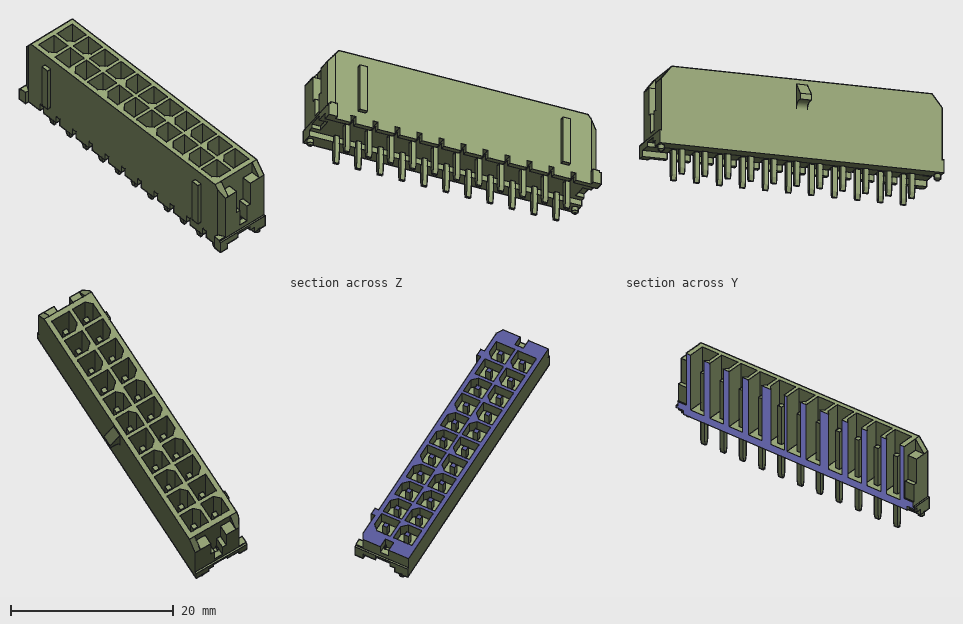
import cadquery as cq

LENGTH = 37.15
BODY_LENGTH = 36.65
BODY_DEPTH = 6.85
BODY_HEIGHT = 10.0
FRONT_Y = -BODY_DEPTH / 2
BACK_Y = BODY_DEPTH / 2
FRONT_STANDOFF = 0.52
EPS = 0.05

SLOPE_RUN = 1.35
SLOPE_DROP = 1.67
CORNER_RUN = 0.9
CORNER_DEPTH = 0.5

FLANGE_HEIGHT = 1.67
FLANGE_LENGTH = 1.15
FOOT_HEIGHT = 1.9

END_WALL_X = BODY_LENGTH / 2 - SLOPE_RUN
LEDGE_Z = BODY_HEIGHT - SLOPE_DROP
LEDGE_Y_MIN = -2.45
LEDGE_Y_MAX = 2.65
SLOT_Y = 0.05
WIDE_SLOT_WIDTH = 2.23
WIDE_SLOT_Z = 4.83
NARROW_SLOT_WIDTH = 1.1
NARROW_SLOT_Z = 2.38
FLOOR_HOLE_LENGTH = 0.6
FLOOR_HOLE_WIDTH = 0.8
FLOOR_HOLE_DEPTH = 0.37

COLUMNS = 11
ROW_LENGTH = 30.0
PITCH = ROW_LENGTH / (COLUMNS - 1)
PIN_WIDTH = 0.65
PIN_BOTTOM_Z = -3.1
PIN_TOP_Z = 7.43
PIN_TAPER_LENGTH = 0.7
PIN_TIP_WIDTH = 0.3
CELL_WIDTH = 2.53
CELL_FLOOR_Z = 1.95
KEY_CHAMFER = 0.7
BACK_ROW_Y = PITCH / 2
BACK_ROW_KEYS = "RRRRLRRLLLL"
FRONT_ROW_KEYS = "R-LRLLRLLLR"

CHANNEL_Y_MIN = -2.8
CHANNEL_Y_MAX = 1.6
CHANNEL_HEIGHT = 0.78
NOTCH_HEIGHT = 1.05
POCKET_Y_MIN = -1.08
POCKET_Y_MAX = 0.93
POCKET_TOP_Z = 1.35

RIB_WIDTH = 1.05
RIB_X = 13.85
RIB_BOTTOM_Z = 1.9
RIB_TOP_Z = 8.32

PEG_DIAMETER = 0.8
PEG_LENGTH = 0.78
PEG_CHAMFER = 0.22
PEG_X = 18.05
PEG_Y = 2.45

LATCH_WIDTH = 1.45
LATCH_REACH = 1.4
LATCH_TOP_Z = 9.4
LATCH_LIP_TOP_Z = 7.8
LATCH_LIP_BOTTOM_Z = 7.05
LATCH_FILLET = 0.8


def block(x_min, x_max, y_min, y_max, z_min, z_max):
    size = (x_max - x_min, y_max - y_min, z_max - z_min)
    return cq.Workplane().box(*size, centered=False).translate((x_min, y_min, z_min))


def both_ends(shape):
    """Return the shape together with its mirror image at the other X end."""
    return shape.union(shape.mirror("YZ"))


def body():
    half = BODY_LENGTH / 2
    side_outline = [
        (-half, 0),
        (half, 0),
        (half, LEDGE_Z),
        (END_WALL_X, BODY_HEIGHT),
        (-END_WALL_X, BODY_HEIGHT),
        (-half, LEDGE_Z),
    ]
    plan = [
        (-half, BACK_Y),
        (-half, FRONT_Y + CORNER_DEPTH),
        (-half + CORNER_RUN, FRONT_Y),
        (half - CORNER_RUN, FRONT_Y),
        (half, FRONT_Y + CORNER_DEPTH),
        (half, BACK_Y),
    ]
    sloped = cq.Workplane("XZ", origin=(0, BACK_Y, 0)).polyline(side_outline).close().extrude(BODY_DEPTH)
    return sloped.intersect(cq.Workplane().polyline(plan).close().extrude(BODY_HEIGHT))


def flanges_and_feet():
    outer = -LENGTH / 2
    inner = outer + FLANGE_LENGTH
    toe_y = FRONT_Y - FRONT_STANDOFF
    foot_back_y = FRONT_Y + CORNER_DEPTH
    flange = block(outer, inner, toe_y, BACK_Y, 0, FLANGE_HEIGHT)
    foot = block(-BODY_LENGTH / 2, inner, toe_y, foot_back_y, 0, FOOT_HEIGHT)
    return both_ends(flange.union(foot))


def end_slot(x_min, width, z_min):
    """Box open at the top, reaching from x_min to the end wall."""
    half = width / 2
    return block(x_min, -END_WALL_X, SLOT_Y - half, SLOT_Y + half, z_min, BODY_HEIGHT)


def end_slots():
    outer = -LENGTH / 2 - EPS
    slots = block(outer, -END_WALL_X, LEDGE_Y_MIN, LEDGE_Y_MAX, LEDGE_Z, BODY_HEIGHT + EPS)
    slots = slots.union(end_slot(outer, WIDE_SLOT_WIDTH, WIDE_SLOT_Z))
    slots = slots.union(end_slot(outer, NARROW_SLOT_WIDTH, NARROW_SLOT_Z))
    hole_x = -END_WALL_X - FLOOR_HOLE_LENGTH
    slots = slots.union(end_slot(hole_x, FLOOR_HOLE_WIDTH, NARROW_SLOT_Z - FLOOR_HOLE_DEPTH))
    return both_ends(slots)


def column_x(column):
    return (column - (COLUMNS - 1) / 2) * PITCH


def cavity(x, y, key):
    half = CELL_WIDTH / 2
    depth = BODY_HEIGHT - CELL_FLOOR_Z + EPS
    cell = cq.Workplane().box(CELL_WIDTH, CELL_WIDTH, depth, centered=(True, True, False))
    if key != "-":
        side = -half if key == "L" else half
        cell = cell.edges(cq.NearestToPointSelector((side, -half, depth / 2))).chamfer(KEY_CHAMFER)
    return cell.translate((x, y, CELL_FLOOR_Z))


def pin(x, y):
    half = PIN_WIDTH / 2
    half_tip = PIN_TIP_WIDTH / 2
    taper_z = PIN_BOTTOM_Z + PIN_TAPER_LENGTH
    profile = [
        (y - half_tip, PIN_BOTTOM_Z),
        (y + half_tip, PIN_BOTTOM_Z),
        (y + half, taper_z),
        (y + half, PIN_TOP_Z),
        (y - half, PIN_TOP_Z),
        (y - half, taper_z),
    ]
    return cq.Workplane("YZ", origin=(x - half, 0, 0)).polyline(profile).close().extrude(PIN_WIDTH)


def pin_notch(x):
    half = PIN_WIDTH / 2
    return block(x - half, x + half, FRONT_Y - EPS, -BACK_ROW_Y, -EPS, NOTCH_HEIGHT)


def underside():
    outer = LENGTH / 2 + EPS
    pocket_x = -LENGTH / 2 + FLANGE_LENGTH
    channel = block(-outer, outer, CHANNEL_Y_MIN, CHANNEL_Y_MAX, -EPS, CHANNEL_HEIGHT)
    pocket = block(-outer, pocket_x, POCKET_Y_MIN, POCKET_Y_MAX, -EPS, POCKET_TOP_Z)
    return channel.union(both_ends(pocket))


def ribs():
    x_min = -RIB_X - RIB_WIDTH / 2
    y_min = FRONT_Y - FRONT_STANDOFF
    return both_ends(block(x_min, x_min + RIB_WIDTH, y_min, FRONT_Y + EPS, RIB_BOTTOM_Z, RIB_TOP_Z))


def pegs():
    tip = cq.Workplane(origin=(-PEG_X, PEG_Y, -PEG_LENGTH))
    peg = tip.circle(PEG_DIAMETER / 2).extrude(PEG_LENGTH + EPS)
    return both_ends(peg.faces("<Z").chamfer(PEG_CHAMFER))


def latch():
    tip_y = BACK_Y + LATCH_REACH
    root_y = BACK_Y - EPS
    sketch = (
        cq.Workplane("YZ", origin=(-LATCH_WIDTH / 2, 0, 0))
        .moveTo(root_y, LATCH_TOP_Z)
        .lineTo(BACK_Y, LATCH_TOP_Z)
        .lineTo(tip_y, LATCH_LIP_TOP_Z)
        .lineTo(tip_y, LATCH_LIP_BOTTOM_Z)
        .lineTo(BACK_Y + LATCH_FILLET, LATCH_LIP_BOTTOM_Z)
        .radiusArc((BACK_Y, LATCH_LIP_BOTTOM_Z - LATCH_FILLET), -LATCH_FILLET)
        .lineTo(root_y, LATCH_LIP_BOTTOM_Z - LATCH_FILLET)
        .close()
    )
    return sketch.extrude(LATCH_WIDTH)


ROWS = ((BACK_ROW_Y, BACK_ROW_KEYS), (-BACK_ROW_Y, FRONT_ROW_KEYS))

result = body().union(flanges_and_feet()).cut(end_slots()).cut(underside())
result = result.union(ribs()).union(pegs()).union(latch())

for column in range(COLUMNS):
    x = column_x(column)
    result = result.cut(pin_notch(x))
    for row_y, keys in ROWS:
        result = result.cut(cavity(x, row_y, keys[column])).union(pin(x, row_y))